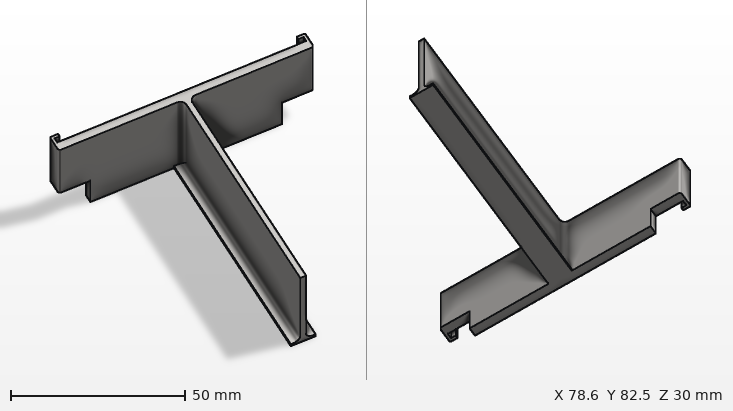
import cadquery as cq

length = 78.6
width = 82.5
height = 30.0

plate_thickness = 2.9
hook_gap = 1.65
hook_wall = 1.0
hook_reach = 2.6
front_corner_radius = 0.5
back_corner_radius = 0.8
tab_width = 61.95
tab_height = 10.0

web_thickness = 1.9
flange_width = 8.0
flange_thickness = 1.0
root_radius = 2.1

plate_front = hook_wall + hook_gap
plate_back = plate_front + plate_thickness
rib_length = length - plate_back


def box(x_start, x_size, y_size, z_start, z_size):
    """Block centred across the width."""
    return (
        cq.Workplane("XY")
        .box(x_size, y_size, z_size, centered=(False, True, False))
        .translate((x_start, 0, z_start))
    )


def hooked_plate():
    """Plate whose two ends curl forward and inward, plus the narrower tab below."""
    upper_height = height - tab_height
    body = box(0, plate_back, width, tab_height, upper_height)
    body = body.edges("|Z and <X").fillet(front_corner_radius)
    body = body.edges("|Z and >X").fillet(back_corner_radius)
    opening = box(0, plate_front, width - 2 * hook_reach, tab_height, upper_height)
    channel = box(hook_wall, hook_gap, width - 2 * hook_wall, tab_height, upper_height)
    tab = box(plate_front, plate_thickness, tab_width, 0, tab_height)
    return body.cut(opening).cut(channel).union(tab)


def add_rib(plate):
    """Inverted-T rib, with its web blended into the plate and the flange."""
    web = box(plate_back, rib_length, web_thickness, 0, height)
    flange = box(plate_back, rib_length, flange_width, 0, flange_thickness)
    body = plate.union(web).union(flange)

    margin = 0.1
    half_span = web_thickness / 2 + margin
    root_edges = cq.selectors.BoxSelector(
        (plate_back - margin, -half_span, flange_thickness - margin),
        (length - margin, half_span, height - margin),
    )
    return body.edges(root_edges).fillet(root_radius)


result = add_rib(hooked_plate())